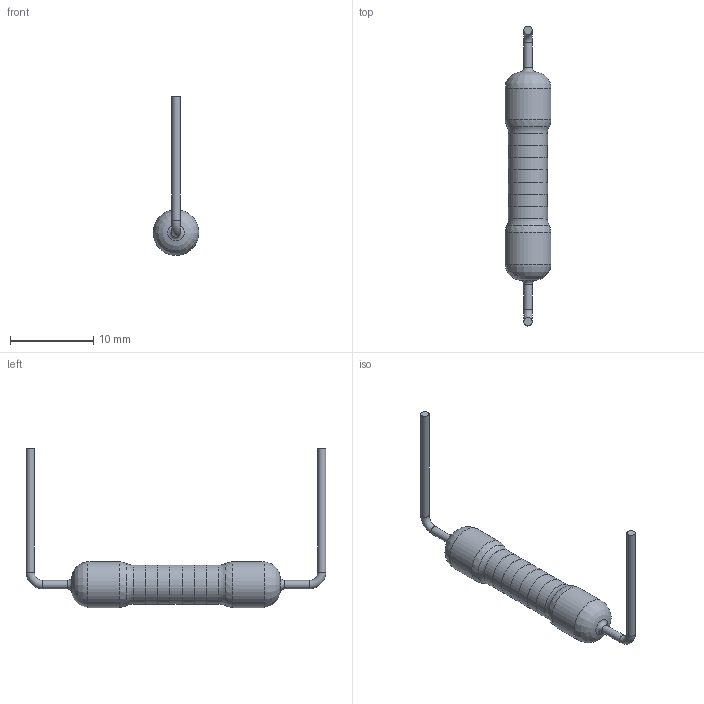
import cadquery as cq
import math


lead_radius = 0.5
lead_spacing = 35.0
lead_top = 16.35
bend_radius = 1.5

cap_radius = 2.75
body_half_length = 12.5
dome_radius = 1.93
lead_fillet = 0.55
core_radius = 4.67 / 2
band_radius = 4.70 / 2
banded_length = 10.3
segment_count = 7
shoulder_radius = 1.8
waist_radius = 1.7

banded_half = banded_length / 2
segment_length = banded_length / segment_count
dome_center_y = body_half_length - dome_radius


def mirrored(point):
    """The same profile point on the -Y half of the body."""
    return (point[0], -point[1])


def body():
    """Core, both caps and the fillets onto the leads, turned about Y in one piece."""
    shoulder_angle = math.acos(1 - (cap_radius - core_radius) / (shoulder_radius + waist_radius))
    cap_start = banded_half + (shoulder_radius + waist_radius) * math.sin(shoulder_angle)

    def waist_point(angle):
        return (
            core_radius + waist_radius * (1 - math.cos(angle)),
            banded_half + waist_radius * math.sin(angle),
        )

    def shoulder_point(angle):
        return (
            cap_radius - shoulder_radius * (1 - math.cos(angle)),
            cap_start - shoulder_radius * math.sin(angle),
        )

    dome_center_r = cap_radius - dome_radius
    fillet_center_r = lead_radius + lead_fillet
    tilt = math.asin((fillet_center_r - dome_center_r) / (dome_radius + lead_fillet))
    fillet_center_y = dome_center_y + (dome_radius + lead_fillet) * math.cos(tilt)

    def dome_point(angle):
        return (
            dome_center_r + dome_radius * math.sin(angle),
            dome_center_y + dome_radius * math.cos(angle),
        )

    def fillet_point(angle):
        return (
            fillet_center_r - lead_fillet * math.sin(angle),
            fillet_center_y - lead_fillet * math.cos(angle),
        )

    quarter = math.pi / 2
    half_shoulder = shoulder_angle / 2
    half_dome = (quarter + tilt) / 2

    waist_end = waist_point(0)
    waist_middle = waist_point(half_shoulder)
    inflection = waist_point(shoulder_angle)
    shoulder_middle = shoulder_point(half_shoulder)
    shoulder_end = shoulder_point(0)
    dome_start = dome_point(quarter)
    dome_middle = dome_point(half_dome)
    dome_end = dome_point(tilt)
    fillet_middle = fillet_point(half_dome)
    fillet_end = fillet_point(quarter)

    return (
        cq.Workplane("XY")
        .moveTo(0, -fillet_center_y)
        .lineTo(*mirrored(fillet_end))
        .threePointArc(mirrored(fillet_middle), mirrored(dome_end))
        .threePointArc(mirrored(dome_middle), mirrored(dome_start))
        .lineTo(*mirrored(shoulder_end))
        .threePointArc(mirrored(shoulder_middle), mirrored(inflection))
        .threePointArc(mirrored(waist_middle), mirrored(waist_end))
        .lineTo(*waist_end)
        .threePointArc(waist_middle, inflection)
        .threePointArc(shoulder_middle, shoulder_end)
        .lineTo(*dome_start)
        .threePointArc(dome_middle, dome_end)
        .threePointArc(fillet_middle, fillet_end)
        .lineTo(0, fillet_center_y)
        .close()
        .revolve(360, (0, 0, 0), (0, 1, 0))
    )


def band(start_y):
    """Colour band standing slightly proud of the core."""
    return (
        cq.Workplane("XZ", origin=(0, start_y, 0))
        .circle(band_radius)
        .extrude(-segment_length)
    )


def lead():
    """Lead on the +Y side, from inside the cap out and up to its end."""
    leg_y = lead_spacing / 2
    bend_start_y = leg_y - bend_radius
    bend_offset = bend_radius * math.sin(math.pi / 4)
    bend_middle = (bend_start_y + bend_offset, bend_radius - bend_offset)
    path = (
        cq.Workplane("YZ")
        .moveTo(dome_center_y, 0)
        .lineTo(bend_start_y, 0)
        .threePointArc(bend_middle, (leg_y, bend_radius))
        .lineTo(leg_y, lead_top)
    )
    return cq.Workplane("XZ", origin=(0, dome_center_y, 0)).circle(lead_radius).sweep(path)


one_lead = lead()
result = body().union(one_lead).union(one_lead.mirror("XZ"))
for index in range(0, segment_count, 2):
    result = result.union(band(index * segment_length - banded_half))